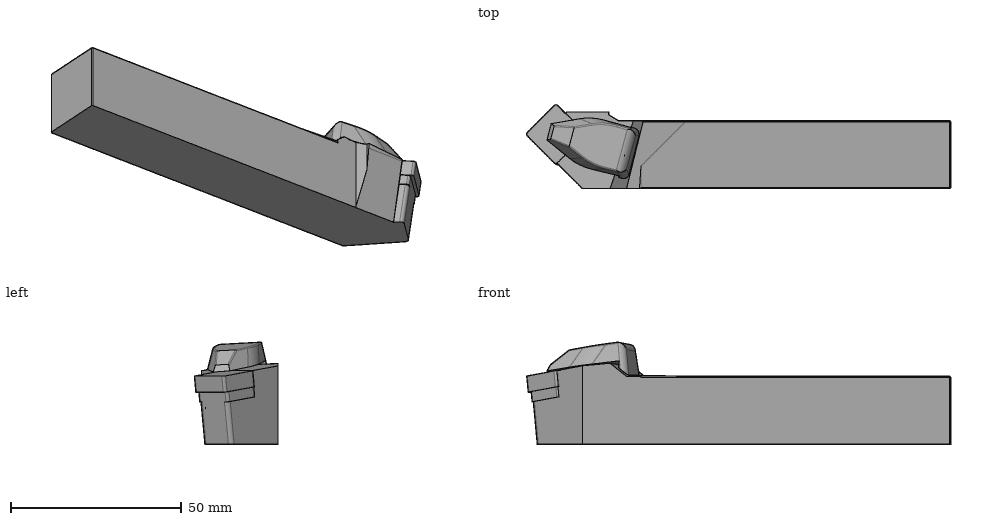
import cadquery as cq
import math

TOTAL_LENGTH = 124.67
SHANK_SIZE = 20.0
SHANK_CHAMFER = 0.35

INSERT_SIDE = 12.7
INSERT_THICKNESS = 4.76
NOSE_RADIUS = 0.8
RAKE_ANGLE = 7.5
TIP_REACH_Y = 25.0
NOSE_LOSS = NOSE_RADIUS * (math.sqrt(2) - 1)
TIP_X = -NOSE_LOSS
TIP_Y = TIP_REACH_Y - INSERT_SIDE / math.sqrt(2)

SHIM_THICKNESS = 3.0
SHIM_INSET = 0.25
SEAT_SETBACK = 1.0
SEAT_INSET = 0.5
SEAT_RADIUS = 1.2

HEAD_BACK_Y = 22.6
HEAD_REAR_X = 24.2
HEAD_CORNER_Y = 21.7
HEAD_BLEND_X = 27.0
HEAD_END_X = 50.0
HEAD_START = 3.0

RAMP_FOOT_X = 29.3
RAMP_ANGLE = 39.5
FLOOR_SLOPE = 0.022
FLOOR_EXIT_X = 27.0
STEP_X = 33.6
STEP_DEPTH = 1.0
STEP_ANGLE = 17.0

CLAMP_REAR_X = 31.6
CLAMP_REAR_Y = 9.9
CLAMP_BASE_Z = 20.0
CLAMP_ANGLE = 15.0
CLAMP_ROLL = 3.0
CLAMP_LENGTH = 26.6
CLAMP_HALF_WIDTH = 7.9
CLAMP_DRAFT = 8.0
CLAMP_TOP_HEIGHT = 10.22
CLAMP_BLANK_HEIGHT = 12.0
CLAMP_CORNER_RADIUS = 2.0
CLAMP_REAR_RADIUS = 2.5
CLAMP_EDGE_RADIUS = 0.5
NOSE_HALF_WIDTH = 2.8
NOSE_HALF_ANGLE = 27.0
NOSE_DRAFT = 23.0
SHOULDER_RADIUS = 11.5
BROW_AT = 19.1
BROW_HEIGHT = 7.6
CLAMP_TIP_TOP_AT = 24.9
CLAMP_TIP_HEIGHT = 3.4
HEEL_LENGTH = 2.7
CLAMP_GAP = 0.8

FAR = 200.0

rake = math.radians(RAKE_ANGLE)
insert_plane = cq.Plane(
    origin=(TIP_X, TIP_Y, SHANK_SIZE),
    xDir=(math.cos(rake), -math.cos(rake), math.sqrt(2) * math.sin(rake)),
    normal=(-math.sin(rake), math.sin(rake), math.sqrt(2) * math.cos(rake)),
)


def seat_block(x_start, y_start, depth_start, depth, radius):
    """Block below the insert's top face that ends at the far sides of the insert."""
    width = INSERT_SIDE - x_start
    length = INSERT_SIDE - 2 * y_start
    return (
        cq.Workplane(insert_plane)
        .workplane(offset=-depth_start)
        .center(x_start, y_start)
        .rect(width, length, centered=False)
        .extrude(-depth)
        .edges(cq.selectors.ParallelDirSelector(insert_plane.zDir))
        .fillet(radius)
    )


def make_insert():
    """Square plate with rounded corners."""
    return seat_block(0, 0, 0, INSERT_THICKNESS, NOSE_RADIUS)


def make_head():
    """Block beside and behind the seat, cut down to the insert's top plane."""
    side_line = TIP_X + TIP_Y + SEAT_INSET * math.sqrt(2)
    outline = [
        (side_line, 0),
        (HEAD_END_X, 0),
        (HEAD_END_X, SHANK_SIZE),
        (HEAD_BLEND_X, SHANK_SIZE),
        (HEAD_REAR_X, HEAD_CORNER_Y),
        (HEAD_REAR_X, HEAD_BACK_Y),
        (side_line - HEAD_BACK_Y, HEAD_BACK_Y),
    ]
    blank = cq.Workplane("XY").polyline(outline).close().extrude(2 * SHANK_SIZE)
    above_insert_top = cq.Workplane(insert_plane).rect(2 * FAR, 2 * FAR).extrude(FAR)
    before_head = (
        cq.Workplane(insert_plane)
        .center(SEAT_SETBACK + HEAD_START - FAR / 2, 0)
        .rect(FAR, 2 * FAR)
        .extrude(FAR, both=True)
    )
    relief_run = SHANK_SIZE * math.tan(math.radians(RAKE_ANGLE))
    back_relief = (
        cq.Workplane("YZ")
        .polyline([(HEAD_BACK_Y, SHANK_SIZE), (HEAD_BACK_Y - relief_run, 0), (HEAD_BACK_Y, 0)])
        .close()
        .extrude(HEAD_BLEND_X)
    )
    head = blank.cut(above_insert_top).cut(before_head).cut(back_relief)
    return head.cut(above_ramp_and_floor())


def above_ramp_and_floor():
    """Space behind the head, over a slanted ramp and a floor that rises towards the back."""
    above_ramp = (
        cq.Workplane("XY", origin=(RAMP_FOOT_X, 0, SHANK_SIZE))
        .transformed(rotate=(0, 0, -CLAMP_ANGLE))
        .transformed(rotate=(0, RAMP_ANGLE, 0))
        .rect(2 * FAR, 2 * FAR)
        .extrude(FAR)
    )
    floor_plane = cq.Plane(
        origin=(FLOOR_EXIT_X, 0, SHANK_SIZE),
        xDir=(1, 1, 0),
        normal=(FLOOR_SLOPE, -FLOOR_SLOPE, 1),
    )
    above_floor = cq.Workplane(floor_plane).rect(2 * FAR, 2 * FAR).extrude(FAR)
    return above_ramp.intersect(above_floor)


def make_shank():
    """Bar whose front end is a shallow slope up from the floor."""
    foot_x = STEP_X - STEP_DEPTH / math.tan(math.radians(STEP_ANGLE))
    outline = [
        (foot_x, 0),
        (TOTAL_LENGTH, 0),
        (TOTAL_LENGTH, SHANK_SIZE),
        (STEP_X, SHANK_SIZE),
        (foot_x, SHANK_SIZE - STEP_DEPTH),
    ]
    bar = cq.Workplane("XZ").polyline(outline).close().extrude(-SHANK_SIZE)
    return bar.faces(">X").edges("not <Z").chamfer(SHANK_CHAMFER)


def edge_chamfers():
    """Square bars laid along the two long top edges, cutting a chamfer from each."""
    bars = cq.Workplane("YZ", origin=(STEP_X, 0, 0))
    bars = bars.pushPoints([(0, SHANK_SIZE), (SHANK_SIZE, SHANK_SIZE)])
    return bars.polygon(4, 2 * SHANK_CHAMFER).extrude(TOTAL_LENGTH)


def nose_side_cut(side):
    """Half-space outside one leaning flank of the clamp's nose; side is 1 or -1."""
    angle = math.radians(NOSE_HALF_ANGLE)
    draft = math.radians(NOSE_DRAFT)
    flank = cq.Plane(
        origin=(CLAMP_LENGTH, side * NOSE_HALF_WIDTH, 0),
        xDir=(math.cos(angle), -side * math.sin(angle), 0),
        normal=(
            math.sin(angle) * math.cos(draft),
            side * math.cos(angle) * math.cos(draft),
            math.sin(draft),
        ),
    )
    return cq.Workplane(flank).rect(2 * FAR, 2 * FAR).extrude(FAR)


def drafted_block(rear_x):
    """Block tapering upwards, from rear_x to well past the clamp's tip."""
    front_x = 2 * CLAMP_LENGTH
    return (
        cq.Workplane("XY")
        .center((front_x + rear_x) / 2, 0)
        .rect(front_x - rear_x, 2 * CLAMP_HALF_WIDTH)
        .extrude(CLAMP_BLANK_HEIGHT, taper=CLAMP_DRAFT)
    )


def crosswise_prism(outline):
    """Prism along Y over a side outline, wider than the clamp."""
    return cq.Workplane("XZ").polyline(outline).close().extrude(2 * CLAMP_HALF_WIDTH, both=True)


def clamp_nose():
    """Clamp without its rear end: flanks, sloping top and brow, with rounded top edges."""
    block = drafted_block(-CLAMP_LENGTH)
    for side in (1, -1):
        block = block.cut(nose_side_cut(side))
    shoulder_run = (CLAMP_HALF_WIDTH - NOSE_HALF_WIDTH) / math.tan(math.radians(NOSE_HALF_ANGLE))
    shoulder_x = CLAMP_LENGTH - shoulder_run
    for side in (1, -1):
        shoulder = (shoulder_x, side * CLAMP_HALF_WIDTH, 0)
        flank_seam = cq.selectors.NearestToPointSelector(shoulder)
        block = block.edges("not #Z").edges(flank_seam).fillet(SHOULDER_RADIUS)
    top_slope = (CLAMP_TOP_HEIGHT - BROW_HEIGHT) / BROW_AT
    profile = crosswise_prism(
        [
            (-BROW_AT, 0),
            (-BROW_AT, CLAMP_TOP_HEIGHT + top_slope * BROW_AT),
            (BROW_AT, BROW_HEIGHT),
            (CLAMP_TIP_TOP_AT, CLAMP_TIP_HEIGHT),
            (CLAMP_LENGTH, 0),
        ]
    )
    nose = block.intersect(profile)
    top_point = (0, 0, CLAMP_TOP_HEIGHT)
    brow_point = ((BROW_AT + CLAMP_TIP_TOP_AT) / 2, 0, (BROW_HEIGHT + CLAMP_TIP_HEIGHT) / 2)
    top = nose.faces(cq.selectors.NearestToPointSelector(top_point))
    brow = nose.faces(cq.selectors.NearestToPointSelector(brow_point))
    return top.add(brow).edges("not |Y").fillet(CLAMP_EDGE_RADIUS)


def clamp_rear():
    """Envelope of the clamp's rear end, with rounded upright corners and top edge."""
    block = drafted_block(0)
    for side in (1, -1):
        corner = cq.selectors.NearestToPointSelector((0, side * CLAMP_HALF_WIDTH, CLAMP_BLANK_HEIGHT / 2))
        block = block.edges(corner).fillet(CLAMP_CORNER_RADIUS)
    lean = CLAMP_TOP_HEIGHT * math.tan(math.radians(CLAMP_DRAFT))
    top_slope = (CLAMP_TOP_HEIGHT - BROW_HEIGHT) / BROW_AT
    profile = crosswise_prism(
        [
            (0, 0),
            (lean, CLAMP_TOP_HEIGHT - top_slope * lean),
            (2 * CLAMP_LENGTH, CLAMP_TOP_HEIGHT - top_slope * 2 * CLAMP_LENGTH),
            (2 * CLAMP_LENGTH, 0),
        ]
    )
    rear_edge = cq.selectors.NearestToPointSelector((lean, 0, CLAMP_TOP_HEIGHT))
    return block.intersect(profile.edges(rear_edge).fillet(CLAMP_REAR_RADIUS))


def make_clamp():
    """Clamp in place, bearing on the floor with its heel and standing clear of the insert."""
    clamp = clamp_nose().intersect(clamp_rear())
    frame = (
        cq.Workplane("XY", origin=(CLAMP_REAR_X, CLAMP_REAR_Y, CLAMP_BASE_Z))
        .transformed(rotate=(0, 0, 180 - CLAMP_ANGLE))
        .transformed(rotate=(CLAMP_ROLL, 0, 0))
        .plane
    )
    clamp = cq.Workplane(clamp.val().moved(cq.Location(frame)))
    ahead_of_heel = (
        cq.Workplane(frame)
        .center(HEEL_LENGTH + FAR / 2, 0)
        .rect(FAR, FAR)
        .extrude(FAR, both=True)
    )
    below_underside = (
        cq.Workplane(insert_plane).workplane(offset=CLAMP_GAP).rect(2 * FAR, 2 * FAR).extrude(-FAR)
    )
    return clamp.cut(ahead_of_heel.intersect(below_underside))


def make_holder(insert):
    """Shank, head, seat and clamp as one solid, recessed for the insert."""
    shim = seat_block(SEAT_SETBACK, SHIM_INSET, INSERT_THICKNESS, SHIM_THICKNESS, NOSE_RADIUS)
    column = seat_block(SEAT_SETBACK, SEAT_INSET, INSERT_THICKNESS, 2 * SHANK_SIZE, SEAT_RADIUS)
    below_base = cq.Workplane("XY").rect(2 * FAR, 2 * FAR).extrude(-FAR)
    return (
        make_head()
        .union(make_shank())
        .union(column)
        .cut(edge_chamfers())
        .cut(below_base)
        .union(shim)
        .union(make_clamp())
        .cut(insert)
    )


insert = make_insert()
holder = make_holder(insert)

result = cq.Compound.makeCompound([holder.val(), insert.val()])